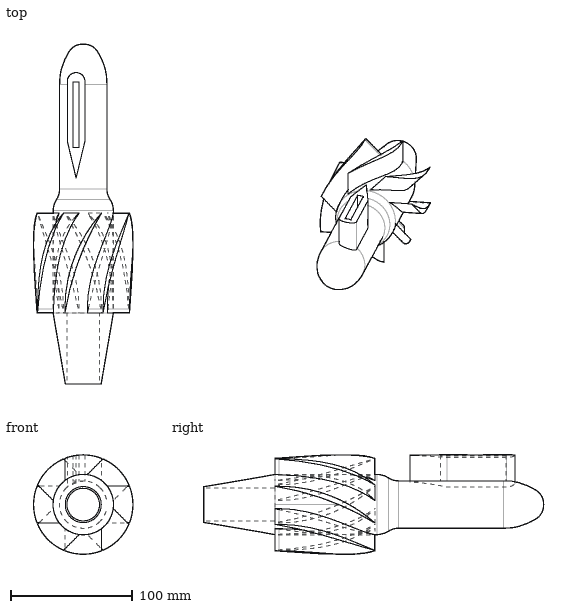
import cadquery as cq
import math

length = 280.0
nose_y = length / 2
tail_y = -length / 2
envelope_diameter = 82.0
envelope_radius = envelope_diameter / 2

shank_radius = 19.5
hub_radius = 25.0
nose_length = 33.3
flare_start_y = 20.5
flare_end_y = 2.8
flare_middle_y = 12.0
hub_front_y = -81.5
mouth_radius = 14.8
bore_radius = 13.5
bore_depth = hub_front_y - tail_y

vane_count = 8
vane_back_y = 0.8
vane_offset = 15.0
vane_middle_y = (vane_back_y + hub_front_y) / 2
vane_straight = 3.5
inner_bow = 4.5

fin_x = -6.0
fin_radius = 7.3
fin_back_y = 116.5
fin_taper_y = 60.2
fin_tip_y = 29.7
slot_width = 4.8
slot_back_y = 109.0
slot_front_y = 55.0


def y_cylinder(radius, start_y, height):
    """Cylinder on the Y axis reaching from start_y toward +Y."""
    return cq.Workplane("XZ", origin=(0, start_y, 0)).circle(radius).extrude(-height)


def make_body():
    """Elliptical nose, straight shank, S-shaped flare, hub and tapered mouth."""
    nose_base_y = nose_y - nose_length
    nose_middle = (
        shank_radius * math.cos(math.pi / 4),
        nose_base_y + nose_length * math.sin(math.pi / 4),
    )
    flare_share = (flare_start_y - flare_middle_y) / (flare_start_y - flare_end_y)
    flare_middle_radius = shank_radius + (hub_radius - shank_radius) * flare_share
    profile = (
        cq.Workplane("XY")
        .moveTo(0, nose_y)
        .spline(
            [nose_middle, (shank_radius, nose_base_y)],
            tangents=[(1, 0), (0, -1)],
            includeCurrent=True,
        )
        .lineTo(shank_radius, flare_start_y)
        .tangentArcPoint((flare_middle_radius, flare_middle_y), relative=False)
        .tangentArcPoint((hub_radius, flare_end_y), relative=False)
        .lineTo(hub_radius, hub_front_y)
        .lineTo(mouth_radius, tail_y)
        .lineTo(0, tail_y)
        .close()
    )
    return profile.revolve(360, (0, 0, 0), (0, 1, 0))


def make_vane():
    """Upright crescent wall, sharp at both ends, with a short axial flat in front."""
    return (
        cq.Workplane("XY")
        .moveTo(-vane_offset, hub_front_y)
        .lineTo(-vane_offset, hub_front_y + vane_straight)
        .tangentArcPoint((vane_offset, vane_back_y), relative=False)
        .threePointArc((-inner_bow, vane_middle_y), (-vane_offset, hub_front_y))
        .close()
        .extrude(envelope_radius)
    )


def make_fin():
    """Upright fin with a round back, straight sides and a pointed front."""
    arc_center_y = fin_back_y - fin_radius
    return (
        cq.Workplane("XY")
        .moveTo(fin_x - fin_radius, fin_taper_y)
        .lineTo(fin_x - fin_radius, arc_center_y)
        .threePointArc((fin_x, fin_back_y), (fin_x + fin_radius, arc_center_y))
        .lineTo(fin_x + fin_radius, fin_taper_y)
        .lineTo(fin_x, fin_tip_y)
        .close()
        .extrude(envelope_radius)
    )


def make_slot():
    """Rectangular pocket from the top of the fin down to the shank crest."""
    return cq.Workplane("XY").box(
        slot_width,
        slot_back_y - slot_front_y,
        envelope_radius - shank_radius,
        centered=(True, True, False),
    ).translate((fin_x, (slot_back_y + slot_front_y) / 2, shank_radius))


envelope = y_cylinder(envelope_radius, tail_y, length)
vane = make_vane().intersect(envelope)
result = make_body().union(make_fin().intersect(envelope))
for index in range(vane_count):
    result = result.union(vane.rotate((0, 0, 0), (0, 1, 0), index * 360 / vane_count))
result = result.cut(make_slot()).cut(y_cylinder(bore_radius, tail_y, bore_depth))